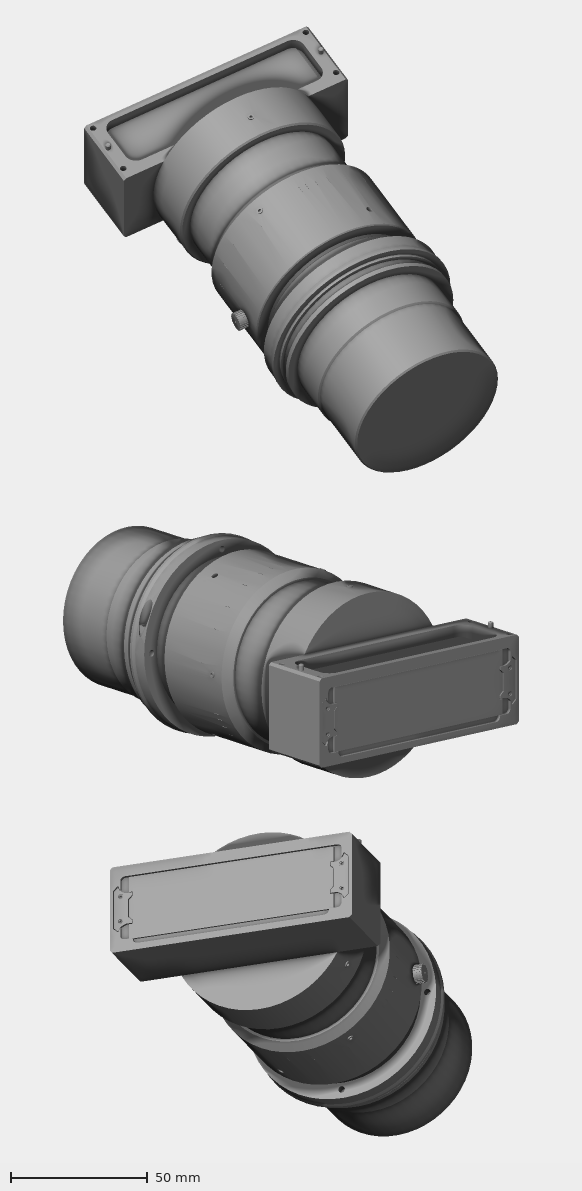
import cadquery as cq
import math


HOUSING_LENGTH = 29.0
HOUSING_WIDTH = 95.0
HOUSING_HEIGHT = 34.0
HOUSING_CHAMFER = 1.0
HOUSING_MID_X = 13.4

TOP_POCKET_LENGTH = 21.6
TOP_POCKET_WIDTH = 83.0
TOP_POCKET_CORNER = 4.5
PRISM_WIDTH = 80.2
PRISM_TOP = 12.4
PRISM_BOTTOM = -12.3
PRISM_GAP_DEPTH = 0.5

TOP_HOLE_DIAMETER = 2.4
TOP_HOLE_DEPTH = 4.0
TOP_HOLE_PITCH = 22.0
TOP_FIXING_Y = 45.1
PIN_DIAMETER = 2.0
PIN_HEIGHT = 2.3
PIN_CHAMFER = 0.3

WINDOW_WIDTH = 86.8
WINDOW_TOP = 12.7
WINDOW_CORNER = 1.7
WINDOW_DEPTH = 1.3
GLASS_SETBACK = 0.5
LEDGE_WIDTH = 77.0
LEDGE_BOTTOM = -14.5
LEDGE_CORNER = 2.0

CLIP_OUTER_Y = 45.9
CLIP_SHOULDER_Y = 44.4
CLIP_NECK_Y = 40.1
CLIP_TIP_Y = 39.0
CLIP_WAIST_Y = 40.4
CLIP_OUTER_Z = 7.4
CLIP_SHOULDER_Z = 8.8
CLIP_NECK_Z = 6.1
CLIP_TIP_Z = 4.9
CLIP_WAIST_Z = 3.5
CLIP_ARC_SAG = -0.9
CLIP_GAP = 0.3
CLIP_SETBACK = 0.3
CLIP_SCREW_DIAMETER = 2.0
CLIP_SCREW_Y = 43.4
CLIP_SCREW_Z = 4.95
CLIP_SCREW_DEPTH = 0.3
CLIP_SOCKET_DIAMETER = 1.18

DISC_RADIUS = 70.0 / 2
BODY_RADIUS = 62.0 / 2
REAR_RADIUS = 60.6 / 2
RING_RADIUS = DISC_RADIUS
RING_NOSE_RADIUS = 32.0
CLAMP_RADIUS = 37.1
RIM_RADIUS = 75.0 / 2
V_GROOVE_RADIUS = 33.5

DISC_END = 48.9
RING_START = 68.0
RING_CONE_END = 71.2
RING_END = 104.2
NECK_END = 105.5
CLAMP_START = 112.9
CLAMP_END = 118.1
RIM_START = 119.5
RIM_END = 120.6
V_GROOVE_START = 121.7
V_GROOVE_CONE = 123.9
COLLAR_START = 125.2
COLLAR_END = 127.0
BODY_END = 142.5
BARREL_END = 168.1
EDGE_CHAMFER = 0.6
RING_CHAMFER = 0.4
BODY_CHAMFER = BODY_RADIUS - REAR_RADIUS

SCREW_COUNT = 3
SCREW_PITCH = 360.0 / SCREW_COUNT
SCREW_DIAMETER = 2.4
SCREW_SOCKET_DIAMETER = 1.18
SCREW_SOCKET_DEPTH = 1.0
SCREW_PROJECTION = 0.4
SCREW_SINK = 2.0
DISC_SCREW_X = 39.8
DISC_SCREW_ANGLE = 90.0
FOCUS_SCREW_X = 76.4
FOCUS_SCREW_ANGLE = 0.0

THUMBSCREW_X = 96.0
THUMBSCREW_ANGLE = 180.0
THUMBSCREW_NECK_DIAMETER = 2.5
THUMBSCREW_HEAD_DIAMETER = 7.0
THUMBSCREW_HEAD_START = 35.7
THUMBSCREW_HEAD_END = 39.1
THUMBSCREW_TIP_DIAMETER = 0.5
THUMBSCREW_TIP_HEIGHT = 0.4
KNURL_COUNT = 24
KNURL_DEPTH = 0.25
KNURL_WIDTH = 0.4
SPARE_HOLE_DIAMETER = 2.5
SPARE_HOLE_DEPTH = 3.0

SCALE_MID_ANGLE = 60.0
SCALE_LINE_ANGLES = (-33.0, -17.5, 0.0, 13.0, 21.5, 28.0, 32.5)
SCALE_LINE_START = 77.3
SCALE_LINE_END = 80.1
INDEX_ANGLE = 5.0
INDEX_LINE_START = 81.0
INDEX_LINE_END = 83.0
LINE_WIDTH = 0.2
LINE_DEPTH = 0.15

FACE_HOLE_COUNT = 4
FACE_HOLE_DIAMETER = 2.5
FACE_HOLE_RADIUS = 33.6
FACE_HOLE_DEPTH = 3.0
CLAMP_SCREW_X = 115.7
CLAMP_SCREW_Y = 34.1
CLAMP_BORE_DIAMETER = 5.0
CLAMP_BORE_FLOOR = 6.0
CLAMP_HEAD_DIAMETER = 4.5
CLAMP_HEAD_TOP = 10.0
CLAMP_SOCKET_DIAMETER = 2.5
CLAMP_SOCKET_DEPTH = 1.5


def box(x_range, y_range, z_range):
    """Box given by its (low, high) limits along each axis."""
    size = [high - low for low, high in (x_range, y_range, z_range)]
    corner = (x_range[0], y_range[0], z_range[0])
    return cq.Workplane("XY").box(*size, centered=False).translate(corner)


def upright_cylinder(x, y, diameter, bottom, top):
    return cq.Workplane("XY", origin=(x, y, bottom)).circle(diameter / 2).extrude(top - bottom)


def axial_cylinder(y, z, diameter, start, end):
    return cq.Workplane("YZ", origin=(start, y, z)).circle(diameter / 2).extrude(end - start)


def around_axis(shape, angle):
    return shape.rotate((0, 0, 0), (1, 0, 0), angle)


def radial_cylinder(x, angle, diameter, inner, outer):
    """Cylinder pointing away from the axis, between two radii."""
    start = cq.Workplane(cq.Plane((x, inner, 0), xDir=(1, 0, 0), normal=(0, 1, 0)))
    return around_axis(start.circle(diameter / 2).extrude(outer - inner), angle)


def make_housing():
    housing = box(
        (0, HOUSING_LENGTH),
        (-HOUSING_WIDTH / 2, HOUSING_WIDTH / 2),
        (-HOUSING_HEIGHT / 2, HOUSING_HEIGHT / 2),
    )
    return housing.edges("|X").chamfer(HOUSING_CHAMFER)


def make_top_pocket():
    """Pocket down to the prism, with a slightly deeper gap at both prism ends."""
    floor = PRISM_TOP - PRISM_GAP_DEPTH
    pocket = (
        cq.Workplane("XY", origin=(HOUSING_MID_X, 0, floor))
        .rect(TOP_POCKET_LENGTH, TOP_POCKET_WIDTH)
        .extrude(HOUSING_HEIGHT / 2 - floor)
        .edges("|Z")
        .fillet(TOP_POCKET_CORNER)
    )
    prism_top = box((0, HOUSING_LENGTH), (-PRISM_WIDTH / 2, PRISM_WIDTH / 2), (floor, PRISM_TOP))
    return pocket.cut(prism_top)


def make_clip_outline():
    """Outline of the +Y clip in the YZ plane, mirrored about Y."""
    half = [
        (CLIP_WAIST_Y, CLIP_WAIST_Z),
        (CLIP_TIP_Y, CLIP_TIP_Z),
        (CLIP_TIP_Y, CLIP_NECK_Z),
        (CLIP_NECK_Y, CLIP_NECK_Z),
    ]
    lower_half = [(y, -z) for y, z in reversed(half)]
    return (
        cq.Workplane("YZ")
        .polyline(lower_half + half)
        .sagittaArc((CLIP_SHOULDER_Y, CLIP_SHOULDER_Z), CLIP_ARC_SAG)
        .lineTo(CLIP_OUTER_Y, CLIP_OUTER_Z)
        .lineTo(CLIP_OUTER_Y, -CLIP_OUTER_Z)
        .lineTo(CLIP_SHOULDER_Y, -CLIP_SHOULDER_Z)
        .sagittaArc((CLIP_NECK_Y, -CLIP_NECK_Z), CLIP_ARC_SAG)
        .close()
    )


def add_window(housing):
    """Recessed window with a raised glass, a lower ledge and two screwed clips."""
    clip = make_clip_outline().extrude(WINDOW_DEPTH - CLIP_SETBACK).translate((CLIP_SETBACK, 0, 0))
    clip_seat = make_clip_outline().offset2D(CLIP_GAP).extrude(WINDOW_DEPTH)
    for z in (-CLIP_SCREW_Z, CLIP_SCREW_Z):
        screw_end = CLIP_SETBACK + CLIP_SCREW_DEPTH
        clip = clip.cut(axial_cylinder(CLIP_SCREW_Y, z, CLIP_SCREW_DIAMETER, 0, screw_end))
        clip = clip.cut(axial_cylinder(CLIP_SCREW_Y, z, CLIP_SOCKET_DIAMETER, 0, WINDOW_DEPTH))

    depth = (0, WINDOW_DEPTH)
    recess = box(depth, (-WINDOW_WIDTH / 2, WINDOW_WIDTH / 2), (PRISM_BOTTOM, WINDOW_TOP))
    recess = recess.edges("|X").fillet(WINDOW_CORNER)
    ledge = box(depth, (-LEDGE_WIDTH / 2, LEDGE_WIDTH / 2), (LEDGE_BOTTOM, 0))
    ledge = ledge.edges("|X and <Z").fillet(LEDGE_CORNER)
    glass = box((GLASS_SETBACK, WINDOW_DEPTH), (-PRISM_WIDTH / 2, PRISM_WIDTH / 2), (PRISM_BOTTOM, PRISM_TOP))

    recess = recess.union(ledge).cut(glass)
    housing = housing.cut(recess).cut(clip_seat).cut(clip_seat.mirror("XZ"))
    return housing.union(clip).union(clip.mirror("XZ"))


def add_top_fixings(housing):
    """Two screw holes and one locating pin at each end of the top face."""
    top = HOUSING_HEIGHT / 2
    for y in (-TOP_FIXING_Y, TOP_FIXING_Y):
        for offset in (-TOP_HOLE_PITCH / 2, TOP_HOLE_PITCH / 2):
            x = HOUSING_MID_X + offset
            housing = housing.cut(upright_cylinder(x, y, TOP_HOLE_DIAMETER, top - TOP_HOLE_DEPTH, top))
        pin = upright_cylinder(HOUSING_MID_X, y, PIN_DIAMETER, top - PIN_HEIGHT, top + PIN_HEIGHT)
        housing = housing.union(pin.faces(">Z").edges().chamfer(PIN_CHAMFER))
    return housing


def make_barrel():
    """Turned lens barrel with disc, focus ring, clamp ring and mounting groove."""
    profile = [
        (HOUSING_LENGTH, 0),
        (HOUSING_LENGTH, DISC_RADIUS),
        (DISC_END - EDGE_CHAMFER, DISC_RADIUS),
        (DISC_END, DISC_RADIUS - EDGE_CHAMFER),
        (DISC_END, BODY_RADIUS),
        (RING_START, BODY_RADIUS),
        (RING_START, RING_NOSE_RADIUS),
        (RING_CONE_END, RING_RADIUS),
        (RING_END - RING_CHAMFER, RING_RADIUS),
        (RING_END, RING_RADIUS - RING_CHAMFER),
        (RING_END, REAR_RADIUS),
        (NECK_END, REAR_RADIUS),
        (NECK_END + BODY_CHAMFER, BODY_RADIUS),
        (CLAMP_START, BODY_RADIUS),
        (CLAMP_START, CLAMP_RADIUS),
        (CLAMP_END, CLAMP_RADIUS),
        (RIM_START, RIM_RADIUS),
        (RIM_END, RIM_RADIUS),
        (RIM_END, RING_RADIUS),
        (V_GROOVE_START, RING_RADIUS),
        (V_GROOVE_START, V_GROOVE_RADIUS),
        (V_GROOVE_CONE, V_GROOVE_RADIUS),
        (COLLAR_START, RING_RADIUS),
        (COLLAR_END, RING_RADIUS),
        (COLLAR_END, BODY_RADIUS),
        (BODY_END - BODY_CHAMFER, BODY_RADIUS),
        (BODY_END, REAR_RADIUS),
        (BARREL_END - EDGE_CHAMFER, REAR_RADIUS),
        (BARREL_END, REAR_RADIUS - EDGE_CHAMFER),
        (BARREL_END, 0),
    ]
    return cq.Workplane("XY").polyline(profile).close().revolve(360, (0, 0, 0), (1, 0, 0))


def add_set_screws(barrel, x, first_angle):
    """Three socket set screws standing slightly proud of the barrel."""
    screw_top = RING_RADIUS + SCREW_PROJECTION
    for index in range(SCREW_COUNT):
        angle = first_angle + index * SCREW_PITCH
        barrel = barrel.union(radial_cylinder(x, angle, SCREW_DIAMETER, RING_RADIUS - SCREW_SINK, screw_top))
        socket_floor = screw_top - SCREW_SOCKET_DEPTH
        barrel = barrel.cut(radial_cylinder(x, angle, SCREW_SOCKET_DIAMETER, socket_floor, screw_top))
    return barrel


def make_thumbscrew():
    head = radial_cylinder(
        THUMBSCREW_X, 0, THUMBSCREW_HEAD_DIAMETER, THUMBSCREW_HEAD_START, THUMBSCREW_HEAD_END
    )
    knurl = box(
        (THUMBSCREW_HEAD_DIAMETER / 2 - KNURL_DEPTH, THUMBSCREW_HEAD_DIAMETER),
        (THUMBSCREW_HEAD_START, THUMBSCREW_HEAD_END),
        (-KNURL_WIDTH / 2, KNURL_WIDTH / 2),
    )
    for index in range(KNURL_COUNT):
        groove = knurl.rotate((0, 0, 0), (0, 1, 0), index * 360.0 / KNURL_COUNT)
        head = head.cut(groove.translate((THUMBSCREW_X, 0, 0)))
    neck = radial_cylinder(
        THUMBSCREW_X, 0, THUMBSCREW_NECK_DIAMETER, RING_RADIUS - SCREW_SINK, THUMBSCREW_HEAD_END
    )
    tip_end = THUMBSCREW_HEAD_END + THUMBSCREW_TIP_HEIGHT
    tip = radial_cylinder(THUMBSCREW_X, 0, THUMBSCREW_TIP_DIAMETER, THUMBSCREW_HEAD_START, tip_end)
    return around_axis(head.union(neck).union(tip), THUMBSCREW_ANGLE)


def add_thumbscrew(barrel):
    """One thumbscrew; the other two positions are open holes."""
    for index in range(1, SCREW_COUNT):
        angle = THUMBSCREW_ANGLE + index * SCREW_PITCH
        hole_floor = RING_RADIUS - SPARE_HOLE_DEPTH
        hole = radial_cylinder(THUMBSCREW_X, angle, SPARE_HOLE_DIAMETER, hole_floor, RIM_RADIUS)
        barrel = barrel.cut(hole)
    return barrel.union(make_thumbscrew())


def cut_line(barrel, start, end, angle):
    """Fine line along the barrel, engraved into the focus ring."""
    line = box((start, end), (RING_RADIUS - LINE_DEPTH, RIM_RADIUS), (-LINE_WIDTH / 2, LINE_WIDTH / 2))
    return barrel.cut(around_axis(line, angle))


def engrave_scale(barrel):
    for index in range(SCREW_COUNT):
        turn = index * SCREW_PITCH
        for offset in SCALE_LINE_ANGLES:
            angle = turn + SCALE_MID_ANGLE + offset
            barrel = cut_line(barrel, SCALE_LINE_START, SCALE_LINE_END, angle)
        barrel = cut_line(barrel, INDEX_LINE_START, INDEX_LINE_END, turn + INDEX_ANGLE)
    return barrel


def add_clamp_details(barrel):
    """Holes in the front face of the clamp ring and its clamping screw."""
    for index in range(FACE_HOLE_COUNT):
        angle = index * 2 * math.pi / FACE_HOLE_COUNT
        y = FACE_HOLE_RADIUS * math.cos(angle)
        z = FACE_HOLE_RADIUS * math.sin(angle)
        hole_end = CLAMP_START + FACE_HOLE_DEPTH
        barrel = barrel.cut(axial_cylinder(y, z, FACE_HOLE_DIAMETER, CLAMP_START, hole_end))

    place = (CLAMP_SCREW_X, CLAMP_SCREW_Y)
    bore = upright_cylinder(*place, CLAMP_BORE_DIAMETER, CLAMP_BORE_FLOOR, RIM_RADIUS)
    head = upright_cylinder(*place, CLAMP_HEAD_DIAMETER, CLAMP_BORE_FLOOR, CLAMP_HEAD_TOP)
    socket_floor = CLAMP_HEAD_TOP - CLAMP_SOCKET_DEPTH
    socket = upright_cylinder(*place, CLAMP_SOCKET_DIAMETER, socket_floor, CLAMP_HEAD_TOP)
    return barrel.cut(bore.cut(head.cut(socket)))


housing = make_housing().cut(make_top_pocket())
housing = add_top_fixings(add_window(housing))

barrel = make_barrel()
barrel = add_set_screws(barrel, DISC_SCREW_X, DISC_SCREW_ANGLE)
barrel = add_set_screws(barrel, FOCUS_SCREW_X, FOCUS_SCREW_ANGLE)
barrel = add_thumbscrew(barrel)
barrel = engrave_scale(barrel)
barrel = add_clamp_details(barrel)

result = housing.union(barrel)